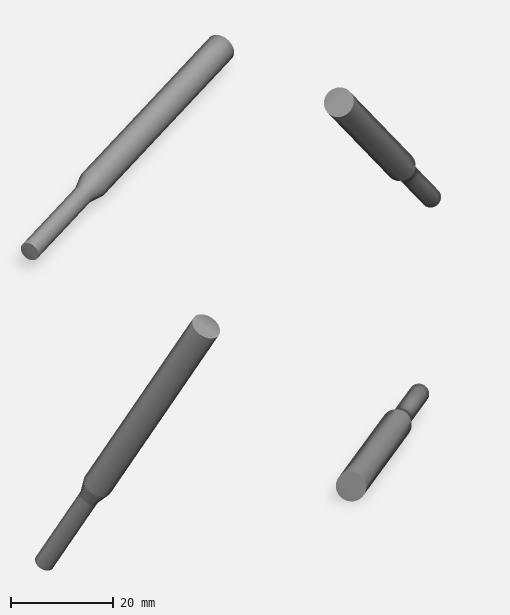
import cadquery as cq
import math

total_length = 75.0
shank_diameter = 6.0
neck_diameter = 4.0
neck_length = 21.0
taper_half_angle = 15.0

shank_radius = shank_diameter / 2
neck_radius = neck_diameter / 2
taper_length = (shank_radius - neck_radius) / math.tan(math.radians(taper_half_angle))
shank_start = neck_length + taper_length


def make_blank():
    """Revolve the half profile of neck, cone and shank about the Y axis."""
    half_profile = (
        cq.Workplane("XY")
        .moveTo(0, 0)
        .lineTo(neck_radius, 0)
        .lineTo(neck_radius, neck_length)
        .lineTo(shank_radius, shank_start)
        .lineTo(shank_radius, total_length)
        .lineTo(0, total_length)
        .close()
    )
    return half_profile.revolve(360, (0, 0, 0), (0, 1, 0))


result = make_blank()